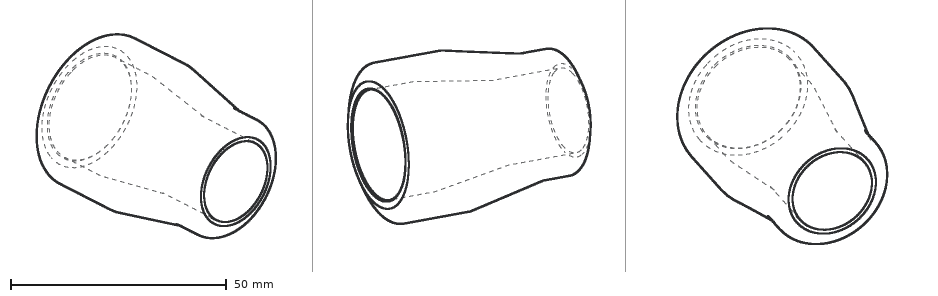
import cadquery as cq
import math

length = 50.0
large_length = 20.0
taper_length = 20.0
large_radius = 38.0 / 2
small_radius = 30.0 / 2

bevel_height = 4.0
bevel_angle = 30.0
shoulder_round = 1.0

large_bore_radius = 26.0 / 2
small_bore_radius = 20.0 / 2
large_bore_depth = 12.0
bore_chamfer = 0.3

bevel_depth = bevel_height * math.tan(math.radians(bevel_angle))
taper_end = large_length + taper_length
bore_taper_end = large_bore_depth + taper_length


def revolve_about_x(points):
    """Turn a closed (x, radius) outline around the X axis."""
    return cq.Workplane("XZ").polyline(points).close().revolve(360, (0, 0, 0), (1, 0, 0))


def make_body():
    """Solid outside shape, with rounded shoulders behind the bevels."""
    body = revolve_about_x([
        (0, 0),
        (0, large_radius - bevel_height),
        (bevel_depth, large_radius),
        (large_length, large_radius),
        (taper_end, small_radius),
        (length - bevel_depth, small_radius),
        (length, small_radius - bevel_height),
        (length, 0),
    ])
    half_band = bevel_depth / 4
    for shoulder_x in (bevel_depth, length - bevel_depth):
        shoulder = cq.selectors.BoxSelector(
            (shoulder_x - half_band, -large_radius, -large_radius),
            (shoulder_x + half_band, large_radius, large_radius),
        )
        body = body.edges("%CIRCLE").edges(shoulder).fillet(shoulder_round)
    return body


def make_bore():
    """Through passage: chamfered wide bore, taper and narrow bore."""
    return revolve_about_x([
        (0, 0),
        (0, large_bore_radius + bore_chamfer),
        (bore_chamfer, large_bore_radius),
        (large_bore_depth, large_bore_radius),
        (bore_taper_end, small_bore_radius),
        (length, small_bore_radius),
        (length, 0),
    ])


result = make_body().cut(make_bore())